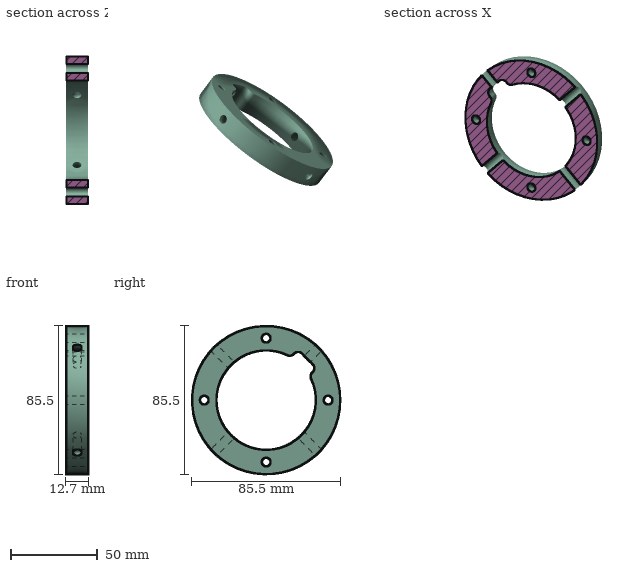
import cadquery as cq

outer_diameter = 85.54
bore_diameter = 57.15
thickness = 12.7

axial_hole_diameter = 4.9
axial_hole_circle_diameter = 71.4
axial_hole_count = 4

radial_hole_diameter = 5.05
radial_hole_count = 4
radial_hole_start_angle = 45.0

notch_angle = 45.0
notch_floor_radius = 33.55
notch_width = 15.0
notch_corner_radius = 3.175
notch_lip_radius = 3.175

x_axis_start = (0, 0, 0)
x_axis_end = (1, 0, 0)
bore_radius = bore_diameter / 2
pin_length = outer_diameter


def make_disc(diameter):
    """Disc of the ring's thickness, centred on the origin."""
    return cq.Workplane("YZ").circle(diameter / 2).extrude(thickness / 2, both=True)


def make_opening():
    """Bore with the notch, all corners rounded, turned to the notch direction."""
    notch = (
        cq.Workplane("YZ")
        .center(notch_floor_radius / 2, 0)
        .rect(notch_floor_radius, notch_width)
        .extrude(thickness / 2, both=True)
    )
    opening = make_disc(bore_diameter).union(notch)

    half_width = notch_width / 2
    lip_distance = (bore_radius**2 - half_width**2) ** 0.5
    for side in (-1, 1):
        floor_point = (0, notch_floor_radius, side * half_width)
        opening = opening.edges(cq.NearestToPointSelector(floor_point)).fillet(notch_corner_radius)
        lip_point = (0, lip_distance, side * half_width)
        opening = opening.edges(cq.NearestToPointSelector(lip_point)).fillet(notch_lip_radius)
    return opening.rotate(x_axis_start, x_axis_end, notch_angle)


def make_axial_holes():
    """Pins that cut the axial holes, on the Y and Z axes."""
    return (
        cq.Workplane("YZ")
        .polarArray(axial_hole_circle_diameter / 2, 0, 360, axial_hole_count)
        .circle(axial_hole_diameter / 2)
        .extrude(thickness / 2, both=True)
    )


def make_radial_hole(angle):
    """Pin from the ring's centre out past the rim, at an angle from +Y toward +Z."""
    pin = cq.Workplane("XZ").circle(radial_hole_diameter / 2).extrude(-pin_length)
    return pin.rotate(x_axis_start, x_axis_end, angle)


result = make_disc(outer_diameter).cut(make_opening()).cut(make_axial_holes())
for index in range(radial_hole_count):
    hole_angle = radial_hole_start_angle + index * 360 / radial_hole_count
    result = result.cut(make_radial_hole(hole_angle))